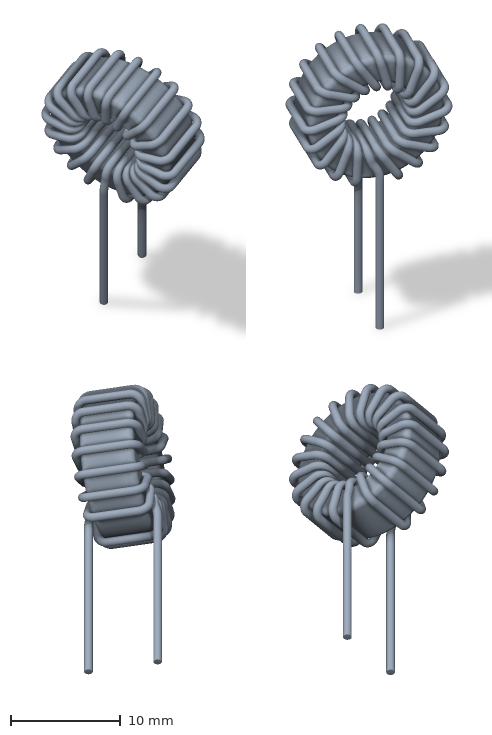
import cadquery as cq
import math


core_outer_diameter = 12.9
core_inner_diameter = 7.5
core_width = 5.05
core_edge_radius = 0.5

wire_diameter = 0.8
wire_radius = wire_diameter / 2
wire_gap = 0.03
turn_pitches = 20
turn_step = 360 / turn_pitches
lead_spacing = 6.5
overall_height = 29.18

axis_offset = wire_gap + wire_radius
outer_path_radius = core_outer_diameter / 2 + axis_offset
inner_path_radius = core_inner_diameter / 2 - axis_offset
face_y = core_width / 2 + axis_offset
bend_radius = core_edge_radius + axis_offset
straight_y = face_y - bend_radius

lead_angle = 270.0
lead_y = lead_spacing / 2
lead_top_z = -(core_outer_diameter / 2 - core_edge_radius)
lead_bottom_z = outer_path_radius + wire_radius - overall_height


def ring_point(radius, angle, y):
    """Point at the given radius and angle (degrees from +X towards +Z) around the Y axis."""
    turn = math.radians(angle)
    return cq.Vector(radius * math.cos(turn), y, radius * math.sin(turn))


def outer_point(angle, y):
    return ring_point(outer_path_radius, angle, y)


def inner_point(angle, y):
    return ring_point(inner_path_radius, angle, y)


def bend(start, corner_direction, end_direction):
    """Quarter-circle bend from `start`, turning from one unit direction to a perpendicular one."""
    end = start + (corner_direction + end_direction) * bend_radius
    start_share = math.sin(math.pi / 4)
    end_share = 1 - math.cos(math.pi / 4)
    middle = start + (corner_direction * start_share + end_direction * end_share) * bend_radius
    return cq.Edge.makeThreePointArc(start, middle, end)


def face_crossing(start, end, side):
    """Bend, straight and bend over one core face: side -1 is the front face, +1 the back face."""
    outward = cq.Vector(0, side, 0)
    across = (end - start).normalized()
    first_bend = bend(start, outward, across)
    last_bend_start = end + (outward - across) * bend_radius
    last_bend = bend(last_bend_start, across, outward * -1)
    straight = cq.Edge.makeLine(first_bend.endPoint(), last_bend_start)
    return [first_bend, straight, last_bend]


def bore_run(angle):
    return cq.Edge.makeLine(inner_point(angle, -straight_y), inner_point(angle, straight_y))


def outer_run(angle):
    return cq.Edge.makeLine(outer_point(angle, straight_y), outer_point(angle, -straight_y))


def back_crossing(angle):
    """Slanted run over the back face, out from the bore to the next turn on the rim."""
    return face_crossing(inner_point(angle, straight_y), outer_point(angle - turn_step, straight_y), 1)


def front_crossing(angle):
    """Radial run over the front face, from the rim back into the bore."""
    return face_crossing(outer_point(angle, -straight_y), inner_point(angle, -straight_y), -1)


def lead(bore_angle, side):
    """Wire from the bore over one core face, eased outwards into a straight lead down."""
    down = cq.Vector(0, 0, -1)
    outward = cq.Vector(0, side, 0)
    start = inner_point(bore_angle, side * straight_y)
    across = (outer_point(lead_angle, side * straight_y) - start).normalized()
    first_bend = bend(start, outward, across)
    lead_top = cq.Vector(0, side * lead_y, lead_top_z)
    lead_bottom = cq.Vector(0, side * lead_y, lead_bottom_z)
    easing = cq.Edge.makeSpline([first_bend.endPoint(), lead_top], tangents=[across, down])
    return [first_bend, easing, cq.Edge.makeLine(lead_top, lead_bottom)]


def winding_path():
    """Axis of the whole wire, from the front lead through every turn to the back lead."""
    edges = lead(lead_angle, -1)
    for turn in range(turn_pitches - 1):
        angle = lead_angle - turn * turn_step
        next_angle = angle - turn_step
        edges.append(bore_run(angle))
        edges += back_crossing(angle)
        edges.append(outer_run(next_angle))
        edges += front_crossing(next_angle)
    last_angle = lead_angle - (turn_pitches - 1) * turn_step
    edges.append(bore_run(last_angle))
    edges += lead(last_angle, 1)
    return cq.Wire.assembleEdges(edges)


def make_core():
    return (
        cq.Workplane("XZ", origin=(0, core_width / 2, 0))
        .circle(core_outer_diameter / 2)
        .circle(core_inner_diameter / 2)
        .extrude(core_width)
        .faces("<Y or >Y")
        .edges()
        .fillet(core_edge_radius)
    )


def make_winding():
    return (
        cq.Workplane("XY", origin=(0, -lead_y, lead_bottom_z))
        .circle(wire_radius)
        .sweep(cq.Workplane(obj=winding_path()))
    )


core = make_core()
winding = make_winding()

result = cq.Compound.makeCompound([core.val(), winding.val()])